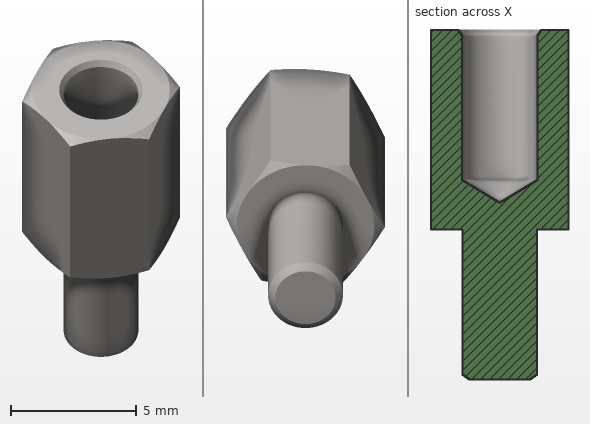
import cadquery as cq
import math

total_length = 14.0
body_length = 8.0
across_flats = 5.5
thread_diameter = 3.0
corner_chamfer_angle = 30.0
tip_chamfer_radial = 0.3
tip_chamfer_axial = 0.21
hole_depth = 6.0
drill_point_angle = 118.0
countersink_diameter = 3.33
countersink_depth = 0.24

across_corners = across_flats / math.cos(math.radians(30))
stud_length = total_length - body_length
flat_radius = across_flats / 2
corner_radius = across_corners / 2
thread_radius = thread_diameter / 2


def revolve_profile(points):
    """Revolve a closed (radius, z) outline about the Z axis."""
    return cq.Workplane("XZ").polyline(points).close().revolve(360, (0, 0, 0), (0, 1, 0))


def make_body():
    """Hexagonal prism with its corners turned down conically at both ends."""
    prism = cq.Workplane("XY").polygon(6, across_corners).extrude(body_length)
    drop = (corner_radius - flat_radius) * math.tan(math.radians(corner_chamfer_angle))
    envelope = revolve_profile([
        (0, 0),
        (flat_radius, 0),
        (corner_radius, drop),
        (corner_radius, body_length - drop),
        (flat_radius, body_length),
        (0, body_length),
    ])
    return prism.intersect(envelope)


def make_stud():
    """Round stud with a chamfered tip."""
    return revolve_profile([
        (0, 0),
        (thread_radius, 0),
        (thread_radius, tip_chamfer_axial - stud_length),
        (thread_radius - tip_chamfer_radial, -stud_length),
        (0, -stud_length),
    ])


def make_hole():
    """Blind hole with a countersunk mouth and a conical drill point."""
    countersink_radius = countersink_diameter / 2
    point_depth = thread_radius / math.tan(math.radians(drill_point_angle / 2))
    hole_floor = body_length - hole_depth
    return revolve_profile([
        (0, body_length),
        (countersink_radius, body_length),
        (thread_radius, body_length - countersink_depth),
        (thread_radius, hole_floor),
        (0, hole_floor - point_depth),
    ])


result = make_body().union(make_stud()).cut(make_hole())